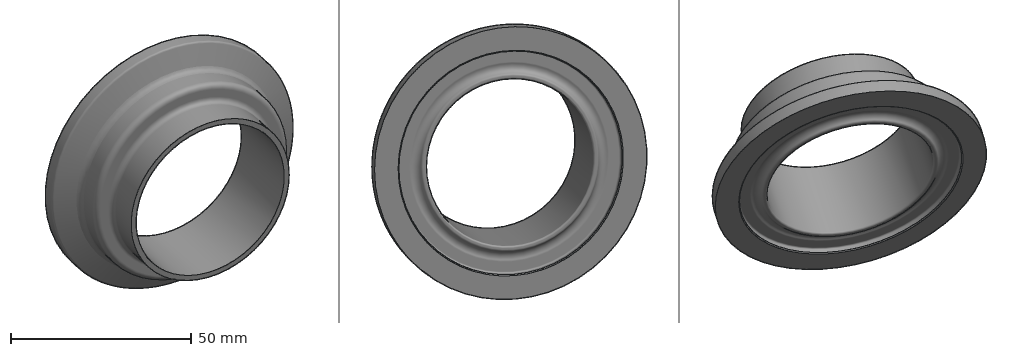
import cadquery as cq
import math

total_length = 24.5
rim_width = 3.95
shoulder_x = 14.6
recess_depth = 1.6

flange_radius = 77.5 / 2
body_radius = 62 / 2
neck_radius = 50.8 / 2
bore_radius = 47.5 / 2
recess_radius = 63.5 / 2
groove_outer_radius = 28.4
groove_center_radius = 27.2
tube_lip_radius = 24.65

cone_angle = 20
rim_round = 0.7
body_fillet = 1.9
body_round = 1.6
neck_fillet = 1.55
recess_mouth_chamfer = 0.3
recess_floor_fillet = 0.5
groove_entry_round = 1.2
groove_arc = 2.2
tube_outer_round = 0.8
tube_inner_round = 0.55


def circle_edge(solid, x, radius):
    """Select the circular edge of the given radius at position x."""
    margin = 0.04
    outer, inner = radius + margin, radius - margin
    within_outer = cq.selectors.BoxSelector(
        (x - margin, -outer, -outer), (x + margin, outer, outer), boundingbox=True
    )
    within_inner = cq.selectors.BoxSelector(
        (x - margin, -inner, -inner), (x + margin, inner, inner), boundingbox=True
    )
    return solid.edges(within_outer - within_inner)


def revolve_about_x(profile):
    """Revolve a closed XY profile about the X axis."""
    return profile.revolve(360, (0, 0, 0), (1, 0, 0))


def outer_body():
    """Solid flange, body and neck with rounded steps."""
    cone_length = (flange_radius - body_radius) * math.tan(math.radians(cone_angle))
    cone_end_x = rim_width + cone_length
    solid = revolve_about_x(
        cq.Workplane("XY")
        .lineTo(0, flange_radius)
        .lineTo(rim_width, flange_radius)
        .lineTo(cone_end_x, body_radius)
        .lineTo(shoulder_x, body_radius)
        .lineTo(shoulder_x, neck_radius)
        .lineTo(total_length, neck_radius)
        .lineTo(total_length, 0)
        .close()
    )
    for x, radius, edge_round in (
        (rim_width, flange_radius, rim_round),
        (cone_end_x, body_radius, body_fillet),
        (shoulder_x, body_radius, body_round),
        (shoulder_x, neck_radius, neck_fillet),
    ):
        solid = circle_edge(solid, x, radius).fillet(edge_round)
    return solid


def inner_void():
    """Face recess, groove and bore; tangent arcs join the recess floor to the tube end."""
    entry_angle = math.asin((groove_outer_radius - groove_center_radius) / (groove_entry_round + groove_arc))
    tube_angle = math.asin((groove_center_radius - tube_lip_radius) / (groove_arc + tube_outer_round))

    entry_center_x = recess_depth + groove_entry_round
    groove_center_x = entry_center_x - (groove_entry_round + groove_arc) * math.cos(entry_angle)
    tube_center_x = groove_center_x + (groove_arc + tube_outer_round) * math.cos(tube_angle)
    tube_end_x = tube_center_x - tube_outer_round

    def on_entry(angle):
        return (
            entry_center_x - groove_entry_round * math.cos(angle),
            groove_outer_radius - groove_entry_round * math.sin(angle),
        )

    def on_groove(angle):
        return (
            groove_center_x + groove_arc * math.cos(angle),
            groove_center_radius + groove_arc * math.sin(angle),
        )

    def on_tube_lip(angle):
        return (
            tube_center_x - tube_outer_round * math.cos(angle),
            tube_lip_radius + tube_outer_round * math.sin(angle),
        )

    corner_inset = tube_inner_round * (1 - math.sqrt(0.5))
    void = revolve_about_x(
        cq.Workplane("XY")
        .lineTo(0, recess_radius + recess_mouth_chamfer)
        .lineTo(recess_mouth_chamfer, recess_radius)
        .lineTo(recess_depth, recess_radius)
        .lineTo(recess_depth, groove_outer_radius)
        .threePointArc(on_entry(entry_angle / 2), on_entry(entry_angle))
        .threePointArc(on_groove(0), on_groove(-tube_angle))
        .threePointArc(on_tube_lip(tube_angle / 2), on_tube_lip(0))
        .lineTo(tube_end_x, bore_radius + tube_inner_round)
        .threePointArc(
            (tube_end_x + corner_inset, bore_radius + corner_inset),
            (tube_end_x + tube_inner_round, bore_radius),
        )
        .lineTo(total_length, bore_radius)
        .lineTo(total_length, 0)
        .close()
    )
    return circle_edge(void, recess_depth, recess_radius).fillet(recess_floor_fillet)


result = outer_body().cut(inner_void())